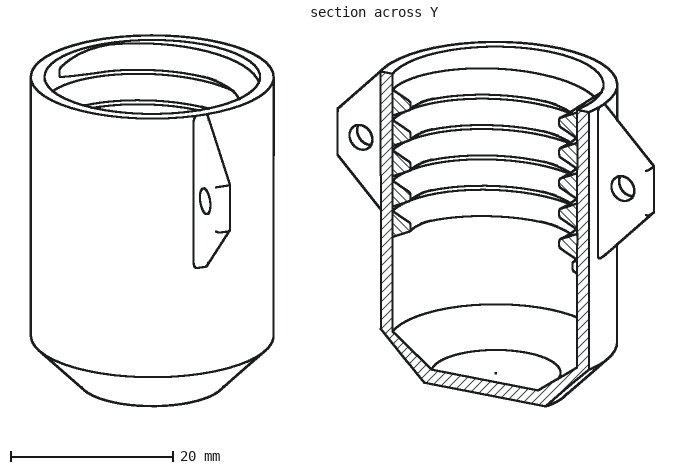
import cadquery as cq
import math

outer_dia = 30.0
height = 40.0
base_dia = 18.0
taper_height = (outer_dia - base_dia) / 2
bore_dia = 26.6
floor_dia = 16.0
floor_thickness = 2.0
vent_dia = 0.04

span = 44.0
lug_thickness = 2.0
lug_round = 0.5
lug_hole_dia = 3.2
lug_hole_offset = 18.5
lug_reach = (span - outer_dia) / 2
lug_root_height = 20.0
lug_embed = 0.9

pitch = 4.0
turns = 5
crest_dia = 21.65
crest_height = 1.1
crest_round = 0.4
flank_height = 1.2
rim_gap = 0.2
root_excess = 0.2

outer_radius = outer_dia / 2
bore_radius = bore_dia / 2
crest_radius = crest_dia / 2


def make_shell():
    """Revolve the cup and pierce the centre of its floor."""
    cup = (
        cq.Workplane("XZ")
        .moveTo(0, 0)
        .lineTo(base_dia / 2, 0)
        .lineTo(outer_radius, taper_height)
        .lineTo(outer_radius, height)
        .lineTo(bore_radius, height)
        .lineTo(bore_radius, taper_height)
        .lineTo(floor_dia / 2, floor_thickness)
        .lineTo(0, floor_thickness)
        .close()
        .revolve(360, (0, 0, 0), (0, 1, 0))
    )
    vent = cq.Workplane("XY").circle(vent_dia / 2).extrude(floor_thickness)
    return cup.cut(vent)


def make_lug():
    """Make the +X lug, with its free edges rounded and cut level with the rim."""
    inner_x = outer_radius - lug_embed
    tip_x = span / 2
    low_z = height - lug_root_height
    plate = (
        cq.Workplane("XZ")
        .moveTo(inner_x, low_z - lug_embed)
        .lineTo(tip_x, low_z + lug_reach)
        .lineTo(tip_x, height - lug_reach)
        .lineTo(inner_x, height + lug_embed)
        .close()
        .extrude(lug_thickness / 2, both=True)
    )
    free_edges = plate.faces("|Y").edges("not(<X)")
    plate = plate.newObject(free_edges.vals()).fillet(lug_round)
    hole = (
        cq.Workplane("XZ")
        .center(lug_hole_offset, height - lug_root_height / 2)
        .circle(lug_hole_dia / 2)
        .extrude(lug_thickness, both=True)
    )
    below_rim = cq.Workplane("XY").circle(span).extrude(height)
    return plate.cut(hole).intersect(below_rim)


def make_housing():
    shell = make_shell()
    lug = make_lug()
    for angle in (0, 180):
        shell = shell.union(lug.rotate((0, 0, 0), (0, 0, 1), angle))
    return shell


def thread_profile(root_top):
    """Draw the thread section on the -X side, with its upper root edge at root_top."""
    root_radius = bore_radius + root_excess
    flank_angle = math.atan2(flank_height, bore_radius - crest_radius)
    excess_drop = root_excess * math.tan(flank_angle)
    crest_top = root_top - flank_height
    crest_bottom = crest_top - crest_height
    root_bottom = crest_bottom - flank_height

    setback = crest_round * math.tan((math.pi / 2 - flank_angle) / 2)
    shoulder_x = -crest_radius - setback * math.cos(flank_angle)
    shoulder_rise = setback * math.sin(flank_angle)
    return (
        cq.Workplane("XZ")
        .moveTo(-root_radius, root_top + excess_drop)
        .lineTo(shoulder_x, crest_top + shoulder_rise)
        .tangentArcPoint((-crest_radius, crest_top - setback), relative=False)
        .lineTo(-crest_radius, crest_bottom + setback)
        .tangentArcPoint((shoulder_x, crest_bottom - shoulder_rise), relative=False)
        .lineTo(-root_radius, root_bottom - excess_drop)
        .close()
    )


def make_thread():
    """Sweep the coil up to the -X side, then run it out straight into the bore wall."""
    rise = pitch * turns
    top_z = height - rim_gap
    helix = cq.Wire.makeHelix(pitch, rise, bore_radius)
    path = helix.rotate(cq.Vector(0, 0, 0), cq.Vector(0, 0, 1), 180)
    path = path.translate(cq.Vector(0, 0, top_z - rise))
    coil = thread_profile(top_z - rise).sweep(cq.Workplane(obj=path), isFrenet=True)

    run_out_length = math.sqrt(bore_radius**2 - crest_radius**2) + root_excess
    run_out = thread_profile(top_z).extrude(run_out_length)
    bore = cq.Workplane("XY").circle(bore_radius).extrude(height)
    return coil.union(run_out).intersect(bore)


housing = make_housing()
thread = make_thread()

result = cq.Compound.makeCompound([*housing.solids().vals(), *thread.solids().vals()])